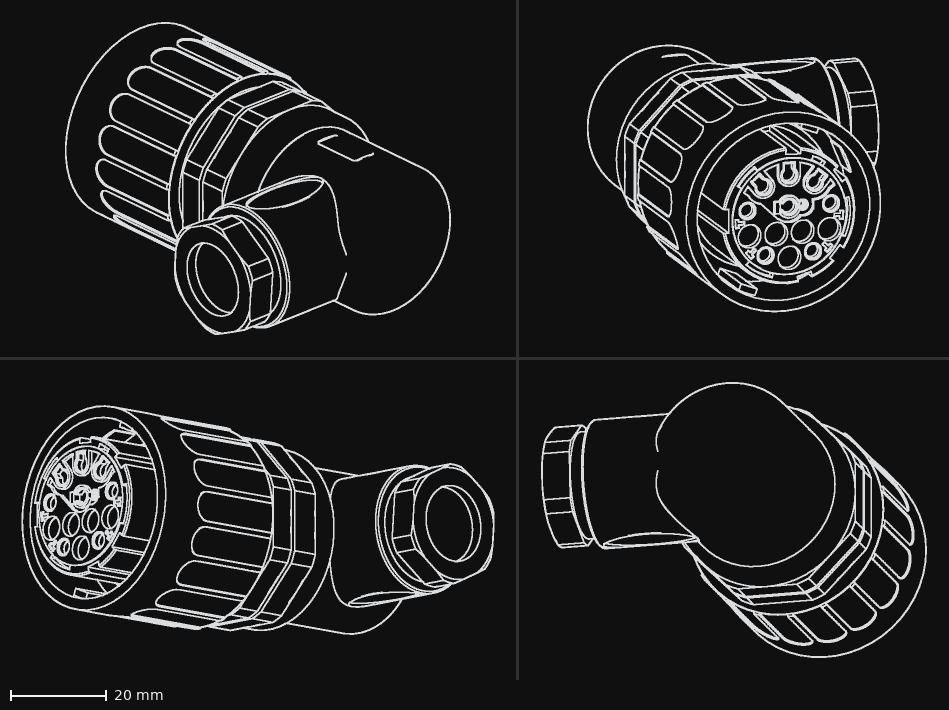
import cadquery as cq
import math


total_length = 83.2
total_width = 61.5

coupling_dia = 43.0
coupling_start = 3.8
coupling_end = 35.45
coupling_bore_dia = 38.2
coupling_chamfer = 0.4
socket_floor = 20.0

flute_count = 18
flute_start = 13.2
flute_width = 6.2
flute_depth = 0.3
flute_offset_angle = -2.4

lug_angles = (68, 248)
lug_width = 3.8
lug_top_radius = 17.55
lug_start = 6.65
ramp_angles = (22.5, 112.5, 202.5, 292.5)
ramp_width = 6.0
ramp_top_radius = 18.6
ramp_start = 14.15

neck_dia = 36.5
collar_dia = 38.2
collar_corner_dia = 40.3
groove_dia = 36.0
collar_flat_count = 8
front_collar_start = 37.5
front_collar_end = 42.7
rear_collar_start = 43.8
rear_collar_flats_end = 49.75
rear_collar_end = 55.75
rear_collar_fillet = 0.9

elbow_dia = 33.0
elbow_start = 56.2
elbow_neck_dia = 32.0
elbow_fillet = 3.0
label_length = 12.0
label_width = 5.65
label_corner = 0.8
label_depth = 0.25
label_x = 66.9
label_y = 0.2

outlet_dia = 27.0
outlet_x = total_length - outlet_dia / 2
outlet_end = 30.95
outlet_chamfer = 0.4
oval_length = 20.4
oval_width = 8.15
oval_y = -19.6
oval_floor = 12.7

nut_neck_dia = 22.5
nut_start = 33.95
nut_end = total_width - coupling_dia / 2
nut_corner_dia = 25.3
nut_flats = 23.3
nut_turn = -4.5
nut_chamfer_length = 0.3
nut_chamfer_width = 0.8
nut_bore_dia = 16.0
nut_bore_depth = 2.5

insert_dia = 29.3
insert_rim = 0.3
insert_chamfer = 0.3
insert_core_dia = 25.1
seal_outer_dia = 32.0
seal_inner_dia = insert_dia
key_floor_radius = 13.3
key_slots = ((35.4, 3.25), (86.0, 3.25), (180.0, 5.2), (284.7, 3.2), (319.8, 3.5))
rim_slot_outer_radius = 13.6
rim_slot_depth = 1.7
rim_slots = ((53.7, 66.7), (124.0, 147.0), (226.0, 254.0), (336.0, 372.5))

power_hole_dia = 5.0
power_hole_depth = 1.7
power_holes = ((-8.8, -3.6), (-2.9, -3.6), (2.9, -3.6), (8.8, -3.6), (0, -9.0))
signal_mouth_dia = 3.7
signal_hole_dia = 3.0
signal_mouth_depth = 0.3
signal_hole_depth = 1.7
signal_holes = ((-9.2, 1.9), (9.2, 1.9), (-5.2, -8.1), (5.2, -8.1))
keyhole_radius = 8.8
keyhole_angles = (50, 90, 130)
keyhole_slot_width = 2.7
keyhole_slot_end = 11.65
centre_z = 2.0
centre_slot_width = 2.2
centre_slot_end = 2.1
pin_y = -3.25
pin_steps = ((2.3, 0.3), (1.9, 0.7), (1.6, 1.0), (1.0, 1.3))

recess_depth = 0.8
recess_radius = 11.65
recess_half_angle = 57
recess_lower_edge = ((6.2, 3.2), (2.3, -0.6), (-5.3, 1.2), (-5.3, 3.2), (-6.6, 3.4))
keyhole_clearance_radius = 3.7
centre_clearance_radius = 3.3
pin_clearance_radius = 2.2
collar_post_dia = 4.75
centre_post_reach = 3.2
centre_post_key_height = 2.5

mark_radius = 11.6
mark_angles = (-3.5, -41, 183.5, 221)
mark_bar = (0.75, 1.8)
mark_stem = (1.25, 0.7)
mark_depth = 0.4


def x_cylinder(dia, x0, x1, y=0.0, z=0.0):
    return cq.Workplane("YZ", origin=(x0, y, z)).circle(dia / 2).extrude(x1 - x0)


def x_tube(outer_dia, inner_dia, x0, x1):
    rings = cq.Workplane("YZ", origin=(x0, 0, 0)).circle(outer_dia / 2).circle(inner_dia / 2)
    return rings.extrude(x1 - x0)


def x_block(x0, x1, y0, y1, height, z=0.0):
    block = cq.Workplane("XY").box(x1 - x0, y1 - y0, height, centered=(False, False, True))
    return block.translate((x0, y0, z))


def outlet_cylinder(dia, depth0, depth1):
    return cq.Workplane("XZ", origin=(outlet_x, -depth0, 0)).circle(dia / 2).extrude(depth1 - depth0)


def turned(shape, angle):
    """Move a shape drawn on the -Y side to the given angle around X."""
    return shape.rotate((0, 0, 0), (1, 0, 0), -angle)


def around(radius, angle):
    """(Y, Z) of a point at a radius and angle around the plug axis."""
    return (-radius * math.cos(math.radians(angle)), radius * math.sin(math.radians(angle)))


def coupling_ring():
    ring = x_cylinder(coupling_dia, coupling_start, coupling_end)
    ring = ring.faces(">X").chamfer(coupling_chamfer)
    skin = x_tube(2 * coupling_dia, coupling_dia - 2 * flute_depth, coupling_start, coupling_end)
    round_x = flute_start + flute_width / 2
    flute = (
        cq.Workplane("XZ", origin=(round_x, 0, 0))
        .circle(flute_width / 2)
        .extrude(coupling_dia)
        .union(x_block(round_x, coupling_end, -coupling_dia, 0, flute_width))
        .intersect(skin)
    )
    for i in range(flute_count):
        ring = ring.cut(turned(flute, flute_offset_angle + i * 360 / flute_count))
    return ring.cut(x_cylinder(coupling_bore_dia, coupling_start, socket_floor))


def inner_pads(angles, width, top_radius, start):
    """Blocks standing inward from the coupling bore."""
    wall_radius = (coupling_bore_dia + coupling_dia) / 4
    wall = x_cylinder(2 * wall_radius, start, socket_floor)
    pad = x_block(start, socket_floor, -coupling_dia, -top_radius, width).intersect(wall)
    pads = turned(pad, angles[0])
    for angle in angles[1:]:
        pads = pads.union(turned(pad, angle))
    return pads


def flatted_collar(x0, x1):
    half_pitch = 180 / collar_flat_count
    prism = (
        cq.Workplane("YZ", origin=(x0, 0, 0))
        .polygon(collar_flat_count, collar_dia / math.cos(math.radians(half_pitch)))
        .extrude(x1 - x0)
        .rotate((0, 0, 0), (1, 0, 0), half_pitch)
    )
    return x_cylinder(collar_corner_dia, x0, x1).intersect(prism)


def rear_collars():
    rear = x_cylinder(collar_dia, rear_collar_flats_end, rear_collar_end)
    return (
        x_cylinder(neck_dia, coupling_end, front_collar_start)
        .union(flatted_collar(front_collar_start, front_collar_end))
        .union(x_cylinder(groove_dia, front_collar_end, rear_collar_start))
        .union(flatted_collar(rear_collar_start, rear_collar_flats_end))
        .union(rear.faces(">X").edges().fillet(rear_collar_fillet))
        .union(x_cylinder(elbow_neck_dia, rear_collar_end, elbow_start))
    )


def elbow():
    body = x_cylinder(elbow_dia, elbow_start, total_length).faces(">X").edges().fillet(elbow_fillet)
    outlet = outlet_cylinder(outlet_dia, 0, outlet_end).faces("<Y").chamfer(outlet_chamfer)
    body = body.union(outlet)
    oval = (
        cq.Workplane("XY", origin=(outlet_x, oval_y, oval_floor))
        .ellipse(oval_width / 2, oval_length / 2)
        .extrude(outlet_dia)
    )
    label = (
        cq.Workplane("XY", origin=(label_x, label_y, elbow_dia / 2 - label_depth))
        .rect(label_length, label_width)
        .extrude(elbow_dia)
        .edges("|Z")
        .fillet(label_corner)
    )
    return body.cut(label).cut(oval).cut(oval.mirror("XY"))


def cable_nut():
    hexagon = (
        cq.Workplane("XZ", origin=(outlet_x, -nut_start, 0))
        .transformed(rotate=(0, 0, 30 + nut_turn))
        .polygon(6, nut_flats / math.cos(math.radians(30)))
        .extrude(nut_end - nut_start)
    )
    rounded = outlet_cylinder(nut_corner_dia, nut_start, nut_end)
    rounded = rounded.faces("<Y").chamfer(nut_chamfer_length, nut_chamfer_width)
    nut = rounded.intersect(hexagon).union(outlet_cylinder(nut_neck_dia, outlet_end, nut_start))
    return nut.cut(outlet_cylinder(nut_bore_dia, nut_end - nut_bore_depth, nut_end))


def insert_body():
    body = x_cylinder(insert_dia, insert_rim, socket_floor).faces("<X").chamfer(insert_chamfer)
    for angle, width in key_slots:
        slot = x_block(insert_rim, socket_floor, -insert_dia, -key_floor_radius, width)
        body = body.cut(turned(slot, angle))
    arc_band = x_tube(2 * rim_slot_outer_radius, insert_core_dia, insert_rim, insert_rim + rim_slot_depth)
    for start, end in rim_slots:
        corners = [(0, 0)] + [around(insert_dia, a) for a in (start, (start + end) / 2, end)]
        wedge = cq.Workplane("YZ").polyline(corners).close().extrude(socket_floor)
        body = body.cut(arc_band.intersect(wedge))
    return body.union(x_cylinder(insert_core_dia, 0, socket_floor))


def seal():
    """O-ring lying half sunk in the floor around the insert."""
    section_radius = (seal_outer_dia - seal_inner_dia) / 4
    ring_radius = (seal_outer_dia + seal_inner_dia) / 4
    section = cq.Workplane("XY", origin=(socket_floor, ring_radius, 0)).circle(section_radius)
    return section.revolve(360, (0, -ring_radius, 0), (1, -ring_radius, 0))


def radial_slot(width, y_end, depth):
    return x_block(0, depth, -y_end, -keyhole_radius, width)


def contact_recess():
    """Sunk area with raised collars around the keyhole contacts."""
    outline = [
        (0, 2 * recess_radius),
        around(2 * recess_radius, 90 + recess_half_angle),
        *recess_lower_edge,
        around(2 * recess_radius, 90 - recess_half_angle),
    ]
    recess = cq.Workplane("YZ").polyline(outline).close().extrude(recess_depth)
    for angle in keyhole_angles:
        centre = around(keyhole_radius, angle)
        recess = recess.union(x_cylinder(2 * keyhole_clearance_radius, 0, recess_depth, *centre))
    recess = recess.union(x_cylinder(2 * centre_clearance_radius, 0, recess_depth, 0, centre_z))
    recess = recess.union(x_cylinder(2 * pin_clearance_radius, 0, recess_depth, pin_y, centre_z))
    recess = recess.intersect(x_cylinder(2 * recess_radius, 0, recess_depth))
    for angle in keyhole_angles:
        recess = recess.cut(x_cylinder(collar_post_dia, 0, recess_depth, *around(keyhole_radius, angle)))
        recess = recess.cut(turned(radial_slot(collar_post_dia, insert_dia, recess_depth), angle))
    recess = recess.cut(x_cylinder(collar_post_dia, 0, recess_depth, 0, centre_z))
    return recess.cut(x_block(0, recess_depth, 0, centre_post_reach, centre_post_key_height, centre_z))


def contact_holes():
    holes = cq.Workplane("YZ")
    for dia, depth in pin_steps:
        holes = holes.union(x_cylinder(dia, 0, recess_depth + depth, pin_y, centre_z))
    for y, z in power_holes:
        holes = holes.union(x_cylinder(power_hole_dia, 0, power_hole_depth, y, z))
    for dia, depth in ((signal_mouth_dia, signal_mouth_depth), (signal_hole_dia, signal_hole_depth)):
        inset = signal_mouth_dia - dia
        for y, z in signal_holes:
            holes = holes.union(x_cylinder(dia, 0, depth, y, z))
        for angle in keyhole_angles:
            slot = radial_slot(keyhole_slot_width - inset, keyhole_slot_end - inset / 2, depth)
            holes = holes.union(x_cylinder(dia, 0, depth, *around(keyhole_radius, angle)))
            holes = holes.union(turned(slot, angle))
        holes = holes.union(x_cylinder(dia, 0, depth, 0, centre_z))
        holes = holes.union(x_block(0, depth, 0, centre_slot_end, centre_slot_width - inset, centre_z))
    return holes


def contact_marks():
    bar_length, bar_width = mark_bar
    stem_length, stem_width = mark_stem
    inner_edge = mark_radius - bar_length / 2
    mark = x_block(0, mark_depth, -inner_edge - bar_length, -inner_edge, bar_width)
    mark = mark.union(x_block(0, mark_depth, -inner_edge, stem_length - inner_edge, stem_width))
    marks = turned(mark, mark_angles[0])
    for angle in mark_angles[1:]:
        marks = marks.union(turned(mark, angle))
    return marks


insert = insert_body().cut(contact_recess()).cut(contact_holes()).cut(contact_marks())
result = (
    coupling_ring()
    .union(inner_pads(lug_angles, lug_width, lug_top_radius, lug_start))
    .union(inner_pads(ramp_angles, ramp_width, ramp_top_radius, ramp_start))
    .union(rear_collars())
    .union(elbow())
    .union(cable_nut())
    .union(insert)
    .union(seal())
)